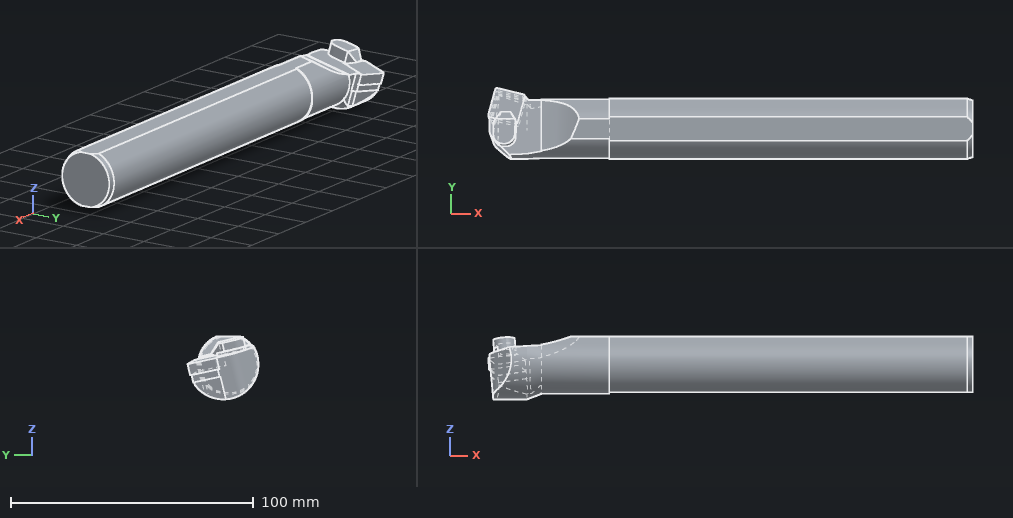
import cadquery as cq
import math


bar_length = 199.78
shank_radius = 12.5
flat_height = 11.5
shank_start = 50.0
chamfer_length = 2.4
chamfer_depth = 0.8
neck_radius = 12.2

head_radius = 14.5
head_offset = head_radius - shank_radius
head_end = 16.0
neck_start = 22.0

tip_x = 3.13
tip_y = 17.0
tip_height = 0.0
axial_tilt = math.radians(5.0)
side_tilt = math.radians(13.5)
slope_x = math.tan(axial_tilt)
slope_y = math.tan(side_tilt)
seat_height = tip_height - slope_x * tip_x + slope_y * tip_y
seat = cq.Plane(
    origin=(0, 0, seat_height),
    xDir=(1, 0, slope_x),
    normal=(-slope_x, slope_y, 1),
)

insert_side = 12.7
insert_thickness = 4.76
shim_thickness = 3.18
insert_turn = -14.0
nose_radius = 0.8
shim_inset = 0.6
seat_inset = 0.9
tip_corner = seat.toLocalCoords(cq.Vector(tip_x, tip_y, tip_height))

scoop_flat_end = 17.0
scoop_radius = 45.0
scoop_height = 20.0
scoop_width = 60.0

front_x = 0.5
front_top = 5.2
front_bottom = -0.1
front_arc_radius = 5.8
bevel_angle = math.radians(45)
bevel_run = 11.0
back_x = 30.0
prism_depth = 40.0

clamp_height = 5.2
clamp_left = 2.6
clamp_right = 11.6
clamp_back = -7.5
clamp_nose_top = 3.0
clamp_nose_bottom = 6.9
clamp_front_round = 4.0
clamp_rear_round = 4.2
clamp_gap = 1.5
clamp_foot_inset = 1.6
clamp_foot_end = 4.0
nose_left_cut = 2.8
nose_left_length = 5.6
nose_right_cut = 2.4
nose_right_length = 4.0


def rod(radius, start, end, offset=0.0):
    """A cylinder along X, its axis moved by offset along Y."""
    return cq.Workplane("YZ", origin=(start, offset, 0)).circle(radius).extrude(end - start)


def make_insert():
    """The square insert, turned on its seat, with rounded corners."""
    turned = seat.rotated((0, 0, insert_turn))
    corner = turned.toLocalCoords(cq.Vector(tip_x, tip_y, tip_height))
    block = (
        cq.Workplane(turned)
        .center(corner.x, corner.y)
        .rect(insert_side, -insert_side, centered=False)
        .extrude(-insert_thickness)
    )
    return block.edges(cq.selectors.ParallelDirSelector(seat.zDir)).fillet(nose_radius)


def make_shank():
    """The round shank with flats on top and bottom and a long shallow end chamfer."""
    profile = [
        (shank_start, 0),
        (shank_start, shank_radius),
        (bar_length - chamfer_length, shank_radius),
        (bar_length, shank_radius - chamfer_depth),
        (bar_length, 0),
    ]
    shank = cq.Workplane("XY").polyline(profile).close().revolve(360, (0, 0), (1, 0))
    flats = cq.Workplane("XY").box(2 * bar_length, 2 * shank_radius, 2 * flat_height)
    return shank.intersect(flats)


def make_neck():
    """The round neck with a flat on top only."""
    neck = rod(neck_radius, 0, shank_start)
    flat = cq.Workplane("XY").box(2 * bar_length, 2 * head_radius, head_radius, centered=(True, True, False))
    return neck.cut(flat.translate((0, 0, flat_height)))


def make_head():
    """The wider, offset head and its taper down to the neck."""
    head = rod(head_radius, -head_radius, head_end, head_offset)
    taper = (
        cq.Workplane("YZ", origin=(head_end, head_offset, 0))
        .circle(head_radius)
        .workplane(offset=neck_start - head_end)
        .center(-head_offset, 0)
        .circle(neck_radius)
        .loft()
    )
    return head.union(taper)


def limit_outline(top, inset):
    """The head's outline square to the seat, drawn at height top and set back under the insert by inset."""
    turn = math.radians(insert_turn)
    along_x, along_y = math.cos(turn), math.sin(turn)
    tip_local_x = tip_corner.x + inset * (along_x + along_y)
    tip_local_y = tip_corner.y + inset * (along_y - along_x)
    side_length = insert_side - inset
    front_length = side_length - inset
    rear_x = tip_local_x + side_length * along_x
    rear_y = tip_local_y + side_length * along_y
    rear_drop = rear_y - neck_radius
    arc_middle_x = front_x + front_arc_radius * (1 - math.cos(bevel_angle / 2))
    arc_middle_y = front_bottom - front_arc_radius * math.sin(bevel_angle / 2)
    arc_end_x = front_x + front_arc_radius * (1 - math.cos(bevel_angle))
    arc_end_y = front_bottom - front_arc_radius * math.sin(bevel_angle)
    bevel_end_y = arc_end_y - bevel_run * math.tan(bevel_angle)
    return (
        cq.Workplane(seat)
        .workplane(offset=top)
        .moveTo(tip_local_x, tip_local_y)
        .lineTo(tip_local_x + front_length * along_y, tip_local_y - front_length * along_x)
        .lineTo(front_x, front_top)
        .lineTo(front_x, front_bottom)
        .threePointArc((arc_middle_x, arc_middle_y), (arc_end_x, arc_end_y))
        .lineTo(arc_end_x + bevel_run, bevel_end_y)
        .lineTo(back_x, bevel_end_y)
        .lineTo(back_x, neck_radius)
        .lineTo(rear_x + rear_drop, neck_radius)
        .lineTo(rear_x, rear_y)
        .close()
    )


def make_head_limit():
    """The space the head may fill: the shim level, and below it a seat set back a little further."""
    shim_bottom = -insert_thickness - shim_thickness
    upper = limit_outline(0, shim_inset).extrude(shim_bottom)
    lower = limit_outline(shim_bottom, seat_inset).extrude(-prism_depth)
    return upper.union(lower)


def make_scoop():
    """The chip scoop: flat along the seat, then curving up and out through the top of the neck."""
    side = cq.Plane(origin=seat.origin, xDir=seat.xDir, normal=-seat.yDir)
    reach = math.sqrt(scoop_radius**2 - (scoop_radius - scoop_height) ** 2)
    middle_angle = math.acos(1 - scoop_height / scoop_radius) / 2
    half_reach = scoop_radius * math.sin(middle_angle)
    half_rise = scoop_radius * (1 - math.cos(middle_angle))
    return (
        cq.Workplane(side)
        .moveTo(-scoop_flat_end, 0)
        .lineTo(scoop_flat_end, 0)
        .threePointArc(
            (scoop_flat_end + half_reach, half_rise),
            (scoop_flat_end + reach, scoop_height),
        )
        .lineTo(-scoop_flat_end, scoop_height)
        .close()
        .extrude(scoop_width / 2, both=True)
    )


def make_clamp():
    """The clamp: a block with a sloping nose held off the seat, on a foot set back from the front."""
    front_arc_rise = clamp_front_round * (1 - math.sqrt(0.5))
    rear_arc_rise = clamp_rear_round * (1 - math.sqrt(0.5))
    rear_arc_start = clamp_left + clamp_front_round
    plan = (
        cq.Workplane(seat)
        .moveTo(clamp_left, clamp_back + clamp_front_round)
        .threePointArc(
            (clamp_left + front_arc_rise, clamp_back + front_arc_rise),
            (rear_arc_start, clamp_back),
        )
        .threePointArc(
            (clamp_right - rear_arc_rise, clamp_back + rear_arc_rise),
            (clamp_right, clamp_back + clamp_rear_round),
        )
        .lineTo(clamp_right, clamp_nose_bottom - nose_right_length)
        .lineTo(clamp_right - nose_right_cut, clamp_nose_bottom)
        .lineTo(clamp_left + nose_left_cut, clamp_nose_bottom)
        .lineTo(clamp_left, clamp_nose_bottom - nose_left_length)
        .close()
        .extrude(clamp_height)
    )
    end = cq.Plane(origin=seat.origin, xDir=seat.yDir, normal=seat.xDir)
    block = (
        cq.Workplane(end)
        .moveTo(clamp_back, clamp_gap)
        .lineTo(clamp_nose_bottom, clamp_gap)
        .lineTo(clamp_nose_top, clamp_height)
        .lineTo(clamp_back, clamp_height)
        .close()
        .extrude(clamp_right)
    )
    foot = (
        cq.Workplane(end)
        .workplane(offset=clamp_left + clamp_foot_inset)
        .moveTo(clamp_back, 0)
        .lineTo(clamp_foot_end, 0)
        .lineTo(clamp_nose_bottom, clamp_gap)
        .lineTo(clamp_back, clamp_gap)
        .close()
        .extrude(clamp_right)
    )
    return plan.intersect(block.union(foot))


insert = make_insert()
head_limit = make_head_limit().union(rod(2 * head_radius, neck_start, bar_length))
head = make_neck().union(make_head()).intersect(head_limit)
holder = make_shank().union(head).cut(make_scoop()).cut(insert)
holder = holder.union(make_clamp())

result = cq.Compound.makeCompound([holder.solids().val(), insert.val()])